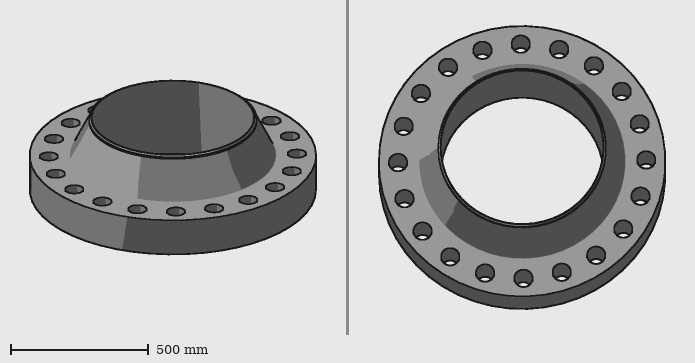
import cadquery as cq
import math


INCH = 25.4

flange_diameter = 41.0 * INCH
flange_thickness = 5.5 * INCH
raised_face_diameter = 27.25 * INCH
raised_face_height = 0.25 * INCH

hub_base_diameter = 29.5 * INCH
neck_diameter = 24.0 * INCH
wall_thickness = 0.375 * INCH
bore_diameter = neck_diameter - 2 * wall_thickness
height_above_face = 11.5 * INCH
bevel_angle = 37.5
root_face_width = 1.6
straight_neck_height = 0.25 * INCH
hub_fillet_radius = 3.0

bolt_count = 20
bolt_circle_diameter = 35.5 * INCH
bolt_hole_diameter = 2.625 * INCH

flange_bottom = raised_face_height
flange_top = flange_bottom + flange_thickness
neck_top = raised_face_height + height_above_face
bevel_height = (wall_thickness - root_face_width) * math.tan(math.radians(bevel_angle))
bevel_bottom = neck_top - bevel_height
cone_top = bevel_bottom - straight_neck_height


def make_body():
    """Revolve the half section, then blend the hub into the disc."""
    bore_radius = bore_diameter / 2
    section = [
        (bore_radius, 0),
        (raised_face_diameter / 2, 0),
        (raised_face_diameter / 2, flange_bottom),
        (flange_diameter / 2, flange_bottom),
        (flange_diameter / 2, flange_top),
        (hub_base_diameter / 2, flange_top),
        (neck_diameter / 2, cone_top),
        (neck_diameter / 2, bevel_bottom),
        (bore_radius + root_face_width, neck_top),
        (bore_radius, neck_top),
    ]
    body = cq.Workplane("XZ").polyline(section).close().revolve(360, (0, 0), (0, 1))
    hub_root = cq.selectors.RadiusNthSelector(-2)
    return body.edges(hub_root).fillet(hub_fillet_radius)


def make_bolt_holes():
    """Ring of through holes, with one hole on the +X axis."""
    return (
        cq.Workplane("XY")
        .polarArray(bolt_circle_diameter / 2, 0, 360, bolt_count)
        .circle(bolt_hole_diameter / 2)
        .extrude(flange_top)
    )


result = make_body().cut(make_bolt_holes())